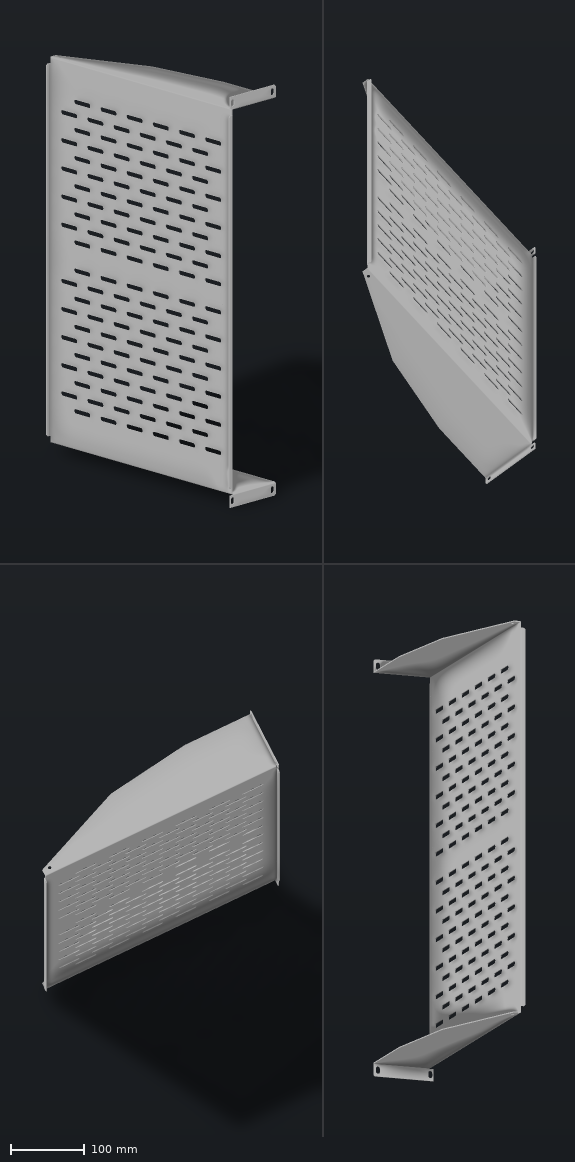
import cadquery as cq
import math

LENGTH = 355.6
DEPTH = 88.9
HEIGHT = 584.2

SHEET = 1.6
BEND_INNER = 0.4
BEND_OUTER = BEND_INNER + SHEET

CHANNEL_HEIGHT = 549.2
X_END = LENGTH / 2
X_BODY = X_END - BEND_OUTER
Y_BACK = DEPTH / 2
LIP_DROP = 5.9
Y_PANEL = -DEPTH / 2 + LIP_DROP
Z_WALL = CHANNEL_HEIGHT / 2

WALL_START_Y = -28.5
WALL_KNEE = (-44.0, 27.0)
WALL_SHOULDER_X = 77.0
PIN_HOLE_DIAMETER = 4.6
PIN_HOLE_CENTER = (-165.2, -30.1)

LIP_LENGTH = 530.0
LIP_CORNER = 2.0

EAR_BOTTOM_Y = -42.5
EAR_CORNER = 2.0
EAR_HOLE_LENGTH = 10.0
EAR_HOLE_WIDTH = 6.4
EAR_HOLE_PITCH = 76.2
EAR_HOLE_EDGE = 9.1

SLOT_LENGTH = 32.0
SLOT_WIDTH = 6.5
SLOTS_PER_ROW = 6
SLOT_PITCH = 50.8
ROW_PITCH = 20.0
ROWS_PER_HALF = 11


def make_channel():
    """Panel and two side walls, bent from one sheet and trimmed to the wall outline."""
    wall_depth = Y_BACK - Y_PANEL
    y_middle = (Y_BACK + Y_PANEL) / 2
    channel = (
        cq.Workplane("XY")
        .box(2 * X_BODY, wall_depth, CHANNEL_HEIGHT)
        .translate((0, y_middle, 0))
        .edges("|X and <Y")
        .fillet(BEND_OUTER)
    )
    cavity = (
        cq.Workplane("XY")
        .box(2 * X_BODY, wall_depth, CHANNEL_HEIGHT - 2 * SHEET)
        .translate((0, y_middle + SHEET, 0))
        .edges("|X and <Y")
        .fillet(BEND_INNER)
    )
    outline = (
        cq.Workplane("XY")
        .moveTo(-X_BODY, Y_PANEL)
        .lineTo(X_BODY, Y_PANEL)
        .lineTo(X_BODY, Y_BACK)
        .lineTo(WALL_SHOULDER_X, Y_BACK)
        .lineTo(*WALL_KNEE)
        .lineTo(-X_BODY, WALL_START_Y)
        .close()
        .extrude(CHANNEL_HEIGHT / 2, both=True)
    )
    return channel.cut(cavity).intersect(outline)


def bent_strip(plane, start, bend_side, reach):
    """Outline, on the given plane, of a sheet turned through a quarter bend.

    The bend begins at start, the outside of the sheet. It runs along the first axis in the
    direction bend_side[0], turns towards bend_side[1] and ends at reach on the second axis.
    """
    run, turn = bend_side
    outer = (start[0] + run * BEND_OUTER, start[1] + turn * BEND_OUTER)
    inner = (start[0] + run * BEND_INNER, outer[1])
    center = (start[0], outer[1])
    diagonal = math.sqrt(0.5)
    outer_mid = (center[0] + run * BEND_OUTER * diagonal, center[1] - turn * BEND_OUTER * diagonal)
    inner_mid = (center[0] + run * BEND_INNER * diagonal, center[1] - turn * BEND_INNER * diagonal)
    return (
        cq.Workplane(plane)
        .moveTo(*start)
        .threePointArc(outer_mid, outer)
        .lineTo(outer[0], reach)
        .lineTo(inner[0], reach)
        .lineTo(*inner)
        .threePointArc(inner_mid, (start[0], start[1] + turn * SHEET))
        .close()
    )


def make_lip(side):
    """Strip bent forward along the panel edge at x = side * X_END."""
    start = (side * X_BODY, Y_PANEL + SHEET)
    lip = bent_strip("XY", start, (side, -1), -DEPTH / 2).extrude(LIP_LENGTH / 2, both=True)
    return lip.edges("|X and <Y").chamfer(LIP_CORNER)


def make_ear(side):
    """Mounting ear bent outward from the side wall at z = side * Z_WALL."""
    z_outer = side * HEIGHT / 2
    z_tangent = side * (Z_WALL + BEND_INNER)
    start = (X_BODY, side * (Z_WALL - SHEET))
    ear = (
        bent_strip("XZ", start, (1, side), z_outer)
        .extrude(Y_BACK - Y_PANEL - BEND_OUTER)
        .translate((0, Y_BACK, 0))
    )
    plate = (
        cq.Workplane("YZ", origin=(X_END - SHEET, 0, 0))
        .moveTo(Y_BACK, z_tangent)
        .lineTo(EAR_BOTTOM_Y, z_tangent)
        .lineTo(EAR_BOTTOM_Y, z_outer)
        .lineTo(Y_BACK, z_outer)
        .close()
        .extrude(SHEET)
    )
    ear = ear.union(plate)
    corner = (
        cq.Workplane("YZ")
        .moveTo(Y_BACK, z_outer)
        .lineTo(Y_BACK - EAR_CORNER, z_outer)
        .lineTo(Y_BACK, z_outer - side * EAR_CORNER)
        .close()
        .extrude(LENGTH)
    )
    holes = (
        cq.Workplane("YZ")
        .pushPoints([(y * EAR_HOLE_PITCH / 2, z_outer - side * EAR_HOLE_EDGE) for y in (-1, 1)])
        .slot2D(EAR_HOLE_LENGTH, EAR_HOLE_WIDTH, 90)
        .extrude(LENGTH)
    )
    return ear.cut(corner).cut(holes)


def make_slots():
    """Cutters for slot rows staggered by half a pitch, with no row at mid height."""
    points = []
    for row in range(-ROWS_PER_HALF, ROWS_PER_HALF + 1):
        if row == 0:
            continue
        stagger = SLOT_PITCH / 4 if row % 2 else -SLOT_PITCH / 4
        for column in range(SLOTS_PER_ROW):
            x = (column - (SLOTS_PER_ROW - 1) / 2) * SLOT_PITCH + stagger
            points.append((x, row * ROW_PITCH))
    return (
        cq.Workplane("XZ", origin=(0, Y_PANEL, 0))
        .pushPoints(points)
        .slot2D(SLOT_LENGTH, SLOT_WIDTH)
        .extrude(SHEET, both=True)
    )


def make_pin_holes():
    """Cutter for the small hole through the narrow end of both side walls."""
    return (
        cq.Workplane("XY")
        .center(*PIN_HOLE_CENTER)
        .circle(PIN_HOLE_DIAMETER / 2)
        .extrude(HEIGHT / 2, both=True)
    )


result = make_channel()
for end in (-1, 1):
    result = result.union(make_lip(end)).union(make_ear(end))
result = result.cut(make_slots()).cut(make_pin_holes())